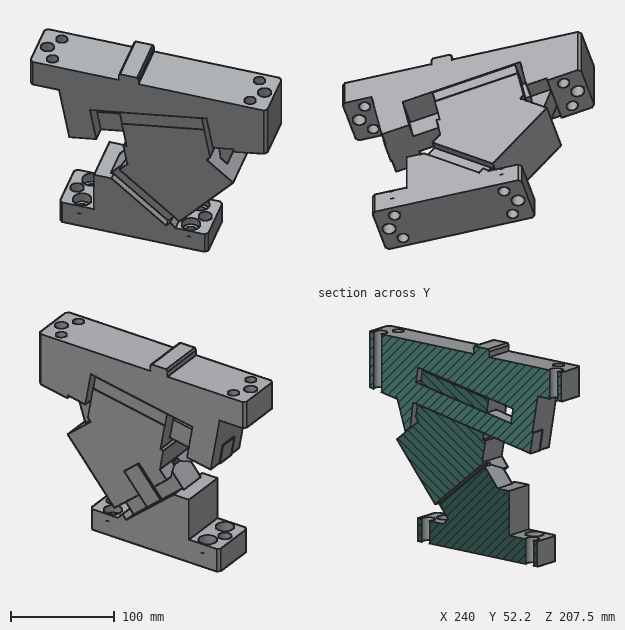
import cadquery as cq
import math

LENGTH = 240.0
DEPTH = 50.0
HEIGHT = 207.5
CORNER_CHAMFER = 3.0

RAIL_ANGLE = math.radians(10)
RAIL_X = 61.0
RAIL_Z = 153.0

RAMP_ANGLE = math.radians(40)
RAMP_X = 91.0
RAMP_Z = 83.5

BOSS_LEFT = 90.0
BOSS_WIDTH = 20.2
BOSS_HEIGHT = 8.0
BOSS_CHAMFER_WIDTH = 1.5
BOSS_CHAMFER_HEIGHT = 2.5
PLATE_TOP = HEIGHT - BOSS_HEIGHT
PLATE_UNDERSIDE = 170.5
NOTCH_LENGTH = 120.0
NOTCH_DEPTH = 36.7
LEG_WIDTH = 27.8
ARM_STEP_OFFSET = 20.6
ARM_STEP_DEPTH = 3.4
BAR_WIDTH = 20.2
BAR_TOP = 15.0
BAR_OVERHANG = 1.0
HOOK_FOOT_START = 56.5
HOOK_FOOT_END = 65.3
HOOK_TOP_LENGTH = 21.4

SLIDER_GAP = 0.7
NECK_LEFT = 30.2
NECK_RIGHT = 114.7
NECK_DEPTH = 49.5
HEAD_BOTTOM = 14.6
HEAD_INSET = 0.5
SHOULDER_LEFT = 27.0
SHOULDER_DEPTH = 43.0
CARRIAGE_LENGTH = 79.2
CARRIAGE_HEIGHT = 84.7
RELIEF_START = 44.5
TOE_HEIGHT = 12.2
KEEPER_START = 19.2
KEEPER_WIDTH = 20.5
KEEPER_BOTTOM = -14.2
KEEPER_LENGTH = 41.5
KEEPER_THICKNESS = 2.2

GUIDE_HALF_WIDTH = 17.8
GUIDE_CREST_HALF_WIDTH = 4.5
GUIDE_HEIGHT = 7.5
GUIDE_BACK = 12.0
CREST_SLOT_DEPTH = 3.0

BASE_LEFT = 30.0
BASE_LENGTH = 150.0
BASE_RIGHT = BASE_LEFT + BASE_LENGTH
LEFT_FOOT_HEIGHT = 25.5
RIGHT_FOOT_HEIGHT = 23.0
BLOCK_LEFT = 65.0
BLOCK_TOP = 70.0
LEDGE_DEPTH = 15.5
RIDGE_LENGTH = 74.5
RIDGE_ROOT = 4.8
LIP_HEIGHT = 6.7
LIP_FOOT_X = 147.5

DOWEL_DIAMETER = 13.0
DOWEL_INSET = 10.0
BOLT_DIAMETER = 11.0
BOLT_INSET = 20.0
BOLT_SPACING = 30.0
BOLT_HEAD_DIAMETER = 18.0
BOLT_HEAD_SEAT = 15.0


def rail_point(along, down):
    """X, Z of a point given along the rail and square below it."""
    return (
        RAIL_X + along * math.cos(RAIL_ANGLE) + down * math.sin(RAIL_ANGLE),
        RAIL_Z + along * math.sin(RAIL_ANGLE) - down * math.cos(RAIL_ANGLE),
    )


def ramp_point(along, up):
    """X, Z of a point given down the ramp and square above it."""
    return (
        RAMP_X + along * math.cos(RAMP_ANGLE) + up * math.sin(RAMP_ANGLE),
        RAMP_Z - along * math.sin(RAMP_ANGLE) + up * math.cos(RAMP_ANGLE),
    )


def slab(points, width, back=None):
    """Extrude an X, Z outline over a width in Y, centred unless its back face is given."""
    if back is None:
        back = width / 2
    return cq.Workplane("XZ", origin=(0, back, 0)).polyline(points).close().extrude(width)


def bolt_places(left, right):
    """X, Y of the two bolts at each end."""
    return [
        (x, side * BOLT_SPACING / 2)
        for x in (left + BOLT_INSET, right - BOLT_INSET)
        for side in (-1, 1)
    ]


def upright_cylinders(places, diameter, bottom=0.0):
    """Vertical cylinders from the bottom height up past the top of everything."""
    return (
        cq.Workplane("XY", origin=(0, 0, bottom))
        .pushPoints(places)
        .circle(diameter / 2)
        .extrude(HEIGHT)
    )


def mounting_holes(left, right):
    """Through holes for one dowel and two bolts at each end."""
    dowels = [(left + DOWEL_INSET, 0), (right - DOWEL_INSET, 0)]
    bolts = bolt_places(left, right)
    return upright_cylinders(dowels, DOWEL_DIAMETER).union(upright_cylinders(bolts, BOLT_DIAMETER))


def chamfered_block(left, length):
    """Tall block with chamfered upright corners that bounds a body."""
    return (
        cq.Workplane("XY", origin=(left + length / 2, 0, 0))
        .rect(length, DEPTH)
        .extrude(HEIGHT)
        .edges("|Z")
        .chamfer(CORNER_CHAMFER)
    )


def rail_box(start, end, top, bottom):
    """Rectangle square to the rail, its top and bottom measured down from the rail."""
    return [
        rail_point(start, top),
        rail_point(end, top),
        rail_point(end, bottom),
        rail_point(start, bottom),
    ]


def make_boss():
    """Locating key across the top of the holder."""
    boss_right = BOSS_LEFT + BOSS_WIDTH
    outline = [
        (BOSS_LEFT, PLATE_TOP),
        (BOSS_LEFT, HEIGHT - BOSS_CHAMFER_HEIGHT),
        (BOSS_LEFT + BOSS_CHAMFER_WIDTH, HEIGHT),
        (boss_right - BOSS_CHAMFER_WIDTH, HEIGHT),
        (boss_right, HEIGHT - BOSS_CHAMFER_HEIGHT),
        (boss_right, PLATE_TOP),
    ]
    return slab(outline, DEPTH)


def make_hook():
    """Stop below the holder arm that rests on the slider's shoulder."""
    outline = [
        rail_point(NOTCH_LENGTH, NOTCH_DEPTH),
        ramp_point(HOOK_FOOT_START, CARRIAGE_HEIGHT),
        ramp_point(HOOK_FOOT_END, CARRIAGE_HEIGHT),
        rail_point(NOTCH_LENGTH + HOOK_TOP_LENGTH, NOTCH_DEPTH),
    ]
    return slab(outline, BAR_WIDTH)


def make_holder():
    """Top plate with a leg, an arm, the notch between them and the bar that spans it."""
    step = NOTCH_LENGTH + ARM_STEP_OFFSET
    arm_underside = NOTCH_DEPTH + ARM_STEP_DEPTH
    step_x, step_z = rail_point(step, arm_underside)
    arm_end_z = step_z + (LENGTH - step_x) * math.tan(RAIL_ANGLE)
    leg_bottom_x, leg_bottom_z = rail_point(-LEG_WIDTH, NOTCH_DEPTH)
    leg_top_x = leg_bottom_x - (PLATE_UNDERSIDE - leg_bottom_z) * math.tan(RAIL_ANGLE)
    outline = [
        (0, PLATE_TOP),
        (0, PLATE_UNDERSIDE),
        (leg_top_x, PLATE_UNDERSIDE),
        (leg_bottom_x, leg_bottom_z),
        rail_point(0, NOTCH_DEPTH),
        rail_point(0, 0),
        rail_point(NOTCH_LENGTH, 0),
        rail_point(NOTCH_LENGTH, NOTCH_DEPTH),
        rail_point(step, NOTCH_DEPTH),
        (step_x, step_z),
        (LENGTH, arm_end_z),
        (LENGTH, PLATE_TOP),
    ]
    body = slab(outline, DEPTH).intersect(chamfered_block(0, LENGTH))
    bar = rail_box(-LEG_WIDTH - BAR_OVERHANG, step, BAR_TOP, NOTCH_DEPTH)
    return (
        body.union(make_boss())
        .union(slab(bar, BAR_WIDTH))
        .union(make_hook())
        .cut(mounting_holes(0, LENGTH))
    )


def along_ramp(points, length):
    """Extrude a section of Y and height above the ramp down the ramp."""
    section = cq.Plane(
        origin=(RAMP_X, 0, RAMP_Z),
        xDir=(0, 1, 0),
        normal=(math.cos(RAMP_ANGLE), 0, -math.sin(RAMP_ANGLE)),
    )
    return cq.Workplane(section).polyline(points).close().extrude(length)


def guide_section(bottom):
    """Roof-shaped guide section with upright flanks down to the bottom height."""
    return [
        (-GUIDE_HALF_WIDTH, bottom),
        (-GUIDE_HALF_WIDTH, 0),
        (-GUIDE_CREST_HALF_WIDTH, GUIDE_HEIGHT),
        (GUIDE_CREST_HALF_WIDTH, GUIDE_HEIGHT),
        (GUIDE_HALF_WIDTH, 0),
        (GUIDE_HALF_WIDTH, bottom),
    ]


def make_keeper():
    """Thin plate on the back of the slider that hangs over the base."""
    end = KEEPER_START + KEEPER_WIDTH
    top = KEEPER_BOTTOM + KEEPER_LENGTH
    outline = [
        ramp_point(KEEPER_START, KEEPER_BOTTOM),
        ramp_point(KEEPER_START, top),
        ramp_point(end, top),
        ramp_point(end, KEEPER_BOTTOM),
    ]
    return slab(outline, KEEPER_THICKNESS, DEPTH / 2 + KEEPER_THICKNESS)


def make_slider():
    """Carriage on the ramp with a neck and head that wrap the holder's bar."""
    outline = [
        rail_point(NECK_LEFT, SLIDER_GAP),
        rail_point(NECK_RIGHT, SLIDER_GAP),
        rail_point(NECK_RIGHT, NECK_DEPTH),
        ramp_point(RELIEF_START, CARRIAGE_HEIGHT),
        ramp_point(CARRIAGE_LENGTH, CARRIAGE_HEIGHT),
        ramp_point(CARRIAGE_LENGTH, 0),
        ramp_point(0, 0),
        ramp_point(0, TOE_HEIGHT),
        rail_point(SHOULDER_LEFT, SHOULDER_DEPTH),
        rail_point(NECK_LEFT, SHOULDER_DEPTH),
    ]
    head = rail_box(0, NOTCH_LENGTH, SLIDER_GAP, HEAD_BOTTOM)
    front_relief = slab(head, HEAD_INSET, HEAD_INSET - DEPTH / 2)
    back_relief = slab(head, HEAD_INSET, DEPTH / 2)
    slot_top = GUIDE_HEIGHT + CREST_SLOT_DEPTH
    crest_slot = [
        (-GUIDE_CREST_HALF_WIDTH, 0),
        (-GUIDE_CREST_HALF_WIDTH, slot_top),
        (GUIDE_CREST_HALF_WIDTH, slot_top),
        (GUIDE_CREST_HALF_WIDTH, 0),
    ]
    return (
        slab(outline, DEPTH)
        .cut(front_relief)
        .cut(back_relief)
        .cut(slab(rail_box(0, NOTCH_LENGTH, BAR_TOP, NOTCH_DEPTH), BAR_WIDTH))
        .cut(along_ramp(guide_section(-LEDGE_DEPTH), CARRIAGE_LENGTH))
        .cut(along_ramp(crest_slot, CARRIAGE_LENGTH))
        .union(make_keeper())
    )


def make_ridge():
    """Guide ridge, cut short at the back and rooted below the ledges beside it."""
    full_ridge = along_ramp(guide_section(-LEDGE_DEPTH - RIDGE_ROOT), RIDGE_LENGTH)
    front_side = (
        cq.Workplane("XY", origin=(0, GUIDE_BACK - DEPTH, 0))
        .box(LENGTH, DEPTH, HEIGHT, centered=False)
    )
    return full_ridge.intersect(front_side)


def make_base():
    """Stepped foot block with the ramp ridge on top."""
    start_x, start_z = ramp_point(0, -LEDGE_DEPTH)
    outline = [
        (BASE_LEFT, 0),
        (BASE_LEFT, LEFT_FOOT_HEIGHT),
        (BLOCK_LEFT, LEFT_FOOT_HEIGHT),
        (BLOCK_LEFT, BLOCK_TOP),
        (start_x + (start_z - BLOCK_TOP) / math.tan(RAMP_ANGLE), BLOCK_TOP),
        ramp_point(RIDGE_LENGTH, -LEDGE_DEPTH),
        ramp_point(RIDGE_LENGTH, -LEDGE_DEPTH + LIP_HEIGHT),
        (LIP_FOOT_X, RIGHT_FOOT_HEIGHT),
        (BASE_RIGHT, RIGHT_FOOT_HEIGHT),
        (BASE_RIGHT, 0),
    ]
    body = slab(outline, DEPTH).intersect(chamfered_block(BASE_LEFT, BASE_LENGTH))
    head_recesses = upright_cylinders(
        bolt_places(BASE_LEFT, BASE_RIGHT), BOLT_HEAD_DIAMETER, BOLT_HEAD_SEAT
    )
    return (
        body.cut(mounting_holes(BASE_LEFT, BASE_RIGHT))
        .cut(head_recesses)
        .union(make_ridge())
    )


holder = make_holder()
slider = make_slider()
base = make_base()
result = cq.Compound.makeCompound([holder.val(), slider.val(), base.val()])